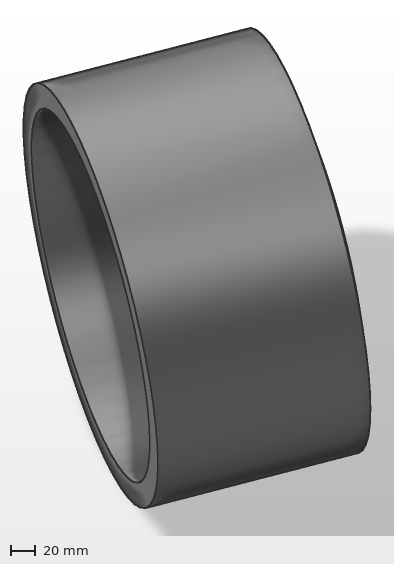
import cadquery as cq
import math

outer_radius = 177.5
wall = 21.3
total_length = 201.5
skirt_length = 180.7

inner_radius = outer_radius - wall
dome_height = total_length - skirt_length

dome_radius = (outer_radius**2 + dome_height**2) / (2 * dome_height)
inner_dome_radius = dome_radius - wall
dome_center = total_length - dome_radius


def capped_cylinder(radius, sphere_radius):
    """Solid of revolution about Y: a cylinder from Y = 0 with a spherical end."""
    shoulder = dome_center + math.sqrt(sphere_radius**2 - radius**2)
    apex = dome_center + sphere_radius
    half_angle = math.asin(radius / sphere_radius) / 2
    arc_middle = (
        sphere_radius * math.sin(half_angle),
        dome_center + sphere_radius * math.cos(half_angle),
    )
    return (
        cq.Workplane("XY")
        .lineTo(radius, 0)
        .lineTo(radius, shoulder)
        .threePointArc(arc_middle, (0, apex))
        .close()
        .revolve(360, (0, 0, 0), (0, 1, 0))
    )


body = capped_cylinder(outer_radius, dome_radius)
cavity = capped_cylinder(inner_radius, inner_dome_radius)
result = body.cut(cavity).translate((0, -total_length / 2, 0))